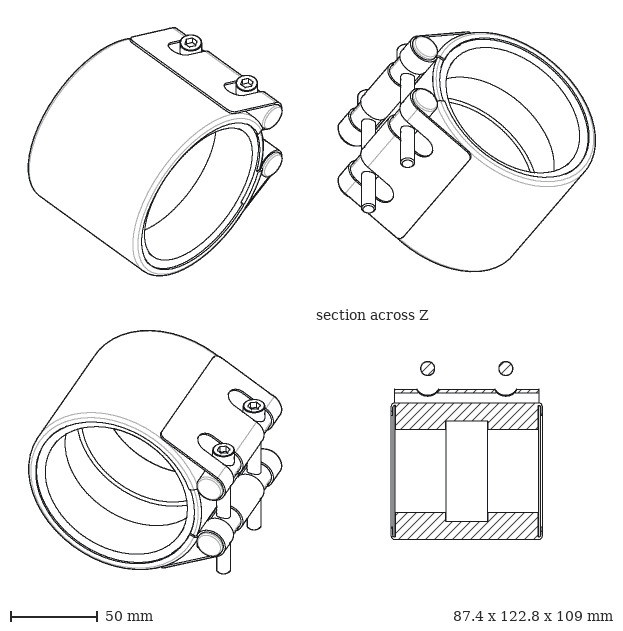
import cadquery as cq
import math

length = 87.4
sheet = 1.2
casing_radius = 54.5
casing_edge = 2.1
flange_radius = 49.4

insert_edge = 1.6
insert_half_angle = 45

lip_radius = 44.5
chamber_radius = 47.4
chamber_length = 24.1

pin_radius = 8.0
pin_y = 59.1
pin_edge = 0.9

strap_corner = 3.9
slot_width = 13.8
slot_end_y = 43.1

bolt_spacing = 45.0
bolt_radius = 4.0
bolt_bottom = -53.9
bolt_tip_edge = 0.9
head_radius = 6.3
head_top = 34.1
head_edge = 0.4
socket_flats = 6.3
socket_depth = 3.7
drill_point_angle = 120

insert_radius = casing_radius - sheet
rubber_length = length - 4 * sheet
strap_width = length - 2 * casing_edge
loop_radius = pin_radius + sheet
pin_distance = casing_radius + pin_radius
pin_z = math.sqrt(pin_distance**2 - pin_y**2)
pin_angle = math.degrees(math.asin(pin_z / pin_distance))
strap_slope = math.degrees(math.asin((casing_radius - pin_radius) / pin_distance)) - pin_angle
strap_length = math.sqrt(pin_distance**2 - (casing_radius - pin_radius) ** 2)
touch_y = casing_radius * math.sin(math.radians(strap_slope))
slot_length = strap_length - (slot_end_y - touch_y) / math.cos(math.radians(strap_slope))


def cylinder_x(radius, cylinder_length):
    """Cylinder on the pipe axis, centred on X = 0."""
    return cq.Workplane("YZ").circle(radius).extrude(cylinder_length / 2, both=True)


def wedge(half_angle):
    """Sector around +Y, wider and longer than the casing."""
    reach = 2 * casing_radius
    half_width = reach * math.tan(math.radians(half_angle))
    return (
        cq.Workplane("YZ")
        .polyline([(0, 0), (reach, -half_width), (reach, half_width)])
        .close()
        .extrude(length, both=True)
    )


def channel(radius, width, edge):
    """Round sheet with flanges folded inward at both ends."""
    outside = cylinder_x(radius, width).edges().fillet(edge)
    inside = cylinder_x(radius - sheet, width - 2 * sheet).edges().fillet(edge - sheet)
    return outside.cut(inside).cut(cylinder_x(flange_radius, width))


def make_rubber():
    body = cylinder_x(insert_radius, rubber_length)
    return body.cut(cylinder_x(lip_radius, length)).cut(cylinder_x(chamber_radius, chamber_length))


def make_pin():
    return cylinder_x(pin_radius, length).edges().fillet(pin_edge).translate((0, pin_y, pin_z))


def strap_location():
    """Frame of the upper strap: origin where it leaves the pin, local Y toward the casing."""
    slope = math.radians(strap_slope)
    normal = (0, math.sin(slope), math.cos(slope))
    origin = (0, pin_y + pin_radius * normal[1], pin_z + pin_radius * normal[2])
    return cq.Plane(origin=origin, xDir=(-1, 0, 0), normal=normal).location


def make_flat_strap():
    flat = (
        cq.Workplane("XY")
        .box(strap_width, strap_length, sheet, centered=(True, False, False))
        .edges("|Z")
        .edges(">Y")
        .fillet(strap_corner)
    )
    return cq.Workplane(flat.val().moved(strap_location()))


def point_on_pin_circle(radius, angle):
    a = math.radians(angle)
    return pin_y + radius * math.cos(a), pin_z + radius * math.sin(a)


def make_loop():
    """Sheet around the pin, from the casing past the underside to the flat strap."""
    start = 180 + pin_angle
    end = 360 + 90 - strap_slope
    middle = (start + end) / 2
    return (
        cq.Workplane("YZ")
        .moveTo(*point_on_pin_circle(pin_radius, start))
        .threePointArc(point_on_pin_circle(pin_radius, middle), point_on_pin_circle(pin_radius, end))
        .lineTo(*point_on_pin_circle(loop_radius, end))
        .threePointArc(point_on_pin_circle(loop_radius, middle), point_on_pin_circle(loop_radius, start))
        .close()
        .extrude(strap_width / 2, both=True)
    )


def make_slots():
    """Round-ended slots through the strap that carry on around the outer side of the loop."""
    straight = slot_length - slot_width / 2
    flat_part = (
        cq.Workplane("XY")
        .moveTo(-slot_width / 2, 0)
        .lineTo(-slot_width / 2, straight)
        .threePointArc((0, slot_length), (slot_width / 2, straight))
        .lineTo(slot_width / 2, 0)
        .close()
        .extrude(2 * sheet)
    )
    loop_part = (
        cq.Workplane("XY")
        .box(slot_width, 2 * loop_radius, 2 * loop_radius, centered=(True, False, True))
        .translate((0, pin_y - slot_width / 2, pin_z))
    )
    slot = cq.Workplane(flat_part.val().moved(strap_location())).union(loop_part)
    half_spacing = bolt_spacing / 2
    return slot.translate((half_spacing, 0, 0)).union(slot.translate((-half_spacing, 0, 0)))


def make_bolt(x):
    shank = (
        cq.Workplane("XY", origin=(x, pin_y, bolt_bottom))
        .circle(bolt_radius)
        .extrude(pin_z - bolt_bottom)
        .faces("<Z")
        .chamfer(bolt_tip_edge)
    )
    head = (
        cq.Workplane("XY", origin=(x, pin_y, pin_z))
        .circle(head_radius)
        .extrude(head_top - pin_z)
        .faces(">Z")
        .chamfer(head_edge)
    )
    return shank.union(head)


def make_socket(x):
    """Hexagonal socket ending in a drill point."""
    corner_radius = socket_flats / 2 / math.cos(math.radians(30))
    point_depth = corner_radius / math.tan(math.radians(drill_point_angle / 2))
    full_depth = socket_depth + point_depth
    hexagon = cq.Workplane("XY").polygon(6, 2 * corner_radius).extrude(-full_depth)
    drilled = (
        cq.Workplane("XZ")
        .polyline([(0, 0), (corner_radius, 0), (corner_radius, -socket_depth), (0, -full_depth)])
        .close()
        .revolve(360, (0, 0), (0, 1))
    )
    return hexagon.intersect(drilled).translate((x, pin_y, head_top))


casing = channel(casing_radius, length, casing_edge).cut(wedge(pin_angle))
insert = channel(insert_radius, length - 2 * sheet, insert_edge).intersect(wedge(insert_half_angle))
strap = make_flat_strap().union(make_loop()).cut(make_slots())
clamp = strap.union(make_pin())

result = make_rubber().union(insert).union(casing)
result = result.union(clamp).union(clamp.mirror("XY"))
for bolt_x in (-bolt_spacing / 2, bolt_spacing / 2):
    result = result.union(make_bolt(bolt_x)).cut(make_socket(bolt_x))